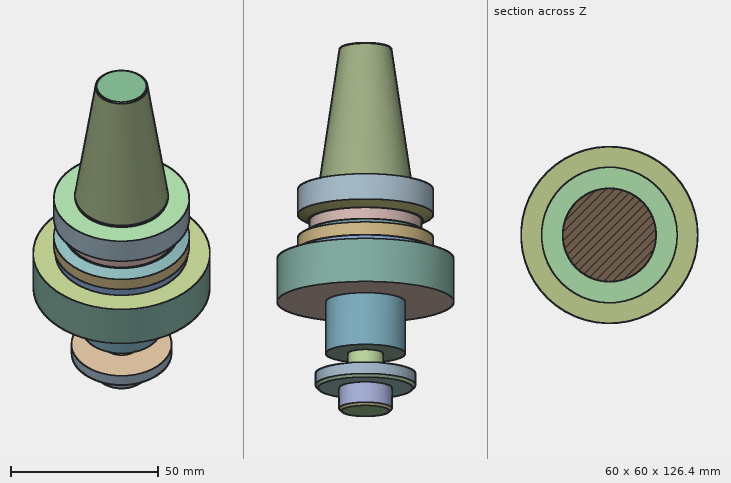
import cadquery as cq
import math


taper_length = 48.4
gauge_diameter = 31.75
taper_ratio = 7 / 24
tip_diameter = gauge_diameter - taper_length * taper_ratio
tip_chamfer = 0.4

neck_diameter = 31.15
flange_top = -0.8

flange_diameter = 45.98
flange_bottom = -22.0
groove_center = -13.6
groove_mouth_width = 8.0
groove_floor_width = 4.0
groove_floor_diameter = 38.0
groove_wall_angle = math.radians(60)

collar_diameter = 45.0
plate_diameter = 60.0
plate_top = -25.0
plate_bottom = -40.0

arbor_diameter = 27.0
arbor_bottom = -58.0
shank_diameter = 12.0
washer_diameter = 34.0
washer_top = -65.0
washer_bottom = -70.0
washer_chamfer = 1.0
head_diameter = 18.0
head_bottom = -78.0
head_chamfer = 0.9


def cylinder(diameter, top, bottom):
    """Solid cylinder on the Z axis between two heights."""
    return cq.Workplane("XY").workplane(offset=bottom).circle(diameter / 2).extrude(top - bottom)


def taper_shank():
    """Cone from the gauge plane to the chamfered small end."""
    profile = [
        (0, 0),
        (gauge_diameter / 2, 0),
        (tip_diameter / 2, taper_length),
        (0, taper_length),
    ]
    cone = cq.Workplane("XZ").polyline(profile).close().revolve(360, (0, 0, 0), (0, 1, 0))
    return cone.faces(">Z").chamfer(tip_chamfer)


def groove_cutter():
    """Ring with sloped walls that end in a narrow square-sided channel."""
    mouth_radius = flange_diameter / 2
    floor_radius = groove_floor_diameter / 2
    half_mouth = groove_mouth_width / 2
    half_floor = groove_floor_width / 2
    wall_inner_radius = mouth_radius - (half_mouth - half_floor) * math.tan(groove_wall_angle)
    profile = [
        (mouth_radius, groove_center + half_mouth),
        (wall_inner_radius, groove_center + half_floor),
        (floor_radius, groove_center + half_floor),
        (floor_radius, groove_center - half_floor),
        (wall_inner_radius, groove_center - half_floor),
        (mouth_radius, groove_center - half_mouth),
    ]
    return cq.Workplane("XZ").polyline(profile).close().revolve(360, (0, 0, 0), (0, 1, 0))


def gripper_flange():
    """Flange disc with the V groove around its rim."""
    return cylinder(flange_diameter, flange_top, flange_bottom).cut(groove_cutter())


def washer():
    """Clamping washer, chamfered around its lower edge."""
    return cylinder(washer_diameter, washer_top, washer_bottom).faces("<Z").chamfer(washer_chamfer)


def screw_head():
    """Screw head below the washer, chamfered around its lower edge."""
    return cylinder(head_diameter, washer_bottom, head_bottom).faces("<Z").chamfer(head_chamfer)


result = (
    taper_shank()
    .union(cylinder(neck_diameter, 0, flange_top))
    .union(gripper_flange())
    .union(cylinder(collar_diameter, flange_bottom, plate_top))
    .union(cylinder(plate_diameter, plate_top, plate_bottom))
    .union(cylinder(arbor_diameter, plate_bottom, arbor_bottom))
    .union(cylinder(shank_diameter, arbor_bottom, washer_top))
    .union(washer())
    .union(screw_head())
)